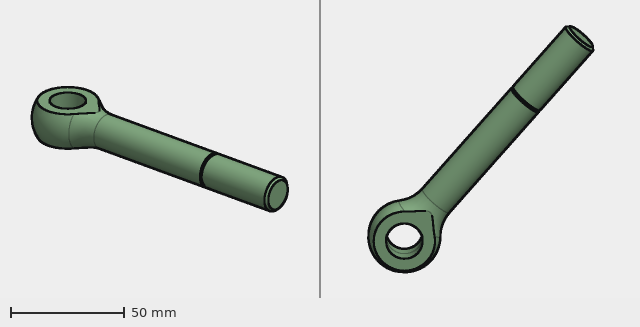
import cadquery as cq
import math

overall_length = 136.0
ball_radius = 15.97
eye_thickness = 17.0
bore_diameter = 16.0
shank_radius = 8.0
neck_radius = 16.7
end_chamfer = 1.2
groove_width = 1.0
groove_depth = 0.5
groove_to_end = 37.5

shank_end = overall_length - ball_radius
groove_x = shank_end - groove_to_end

neck_center_r = shank_radius + neck_radius
neck_end_x = math.sqrt((ball_radius + neck_radius) ** 2 - neck_center_r ** 2)
ball_share = ball_radius / (ball_radius + neck_radius)
tangent_x = neck_end_x * ball_share
tangent_r = neck_center_r * ball_share


def neck_middle():
    """Point on the neck arc halfway between its two tangent points."""
    half_angle = math.atan2(neck_end_x, neck_center_r) / 2
    return (
        neck_end_x - neck_radius * math.sin(half_angle),
        neck_center_r - neck_radius * math.cos(half_angle),
    )


def turned_body():
    """Ball, neck, and shank with its groove and end chamfer, turned about X."""
    profile = (
        cq.Workplane("XY")
        .moveTo(-ball_radius, 0)
        .threePointArc((0, ball_radius), (tangent_x, tangent_r))
        .threePointArc(neck_middle(), (neck_end_x, shank_radius))
        .lineTo(groove_x - groove_width / 2, shank_radius)
        .lineTo(groove_x, shank_radius - groove_depth)
        .lineTo(groove_x + groove_width / 2, shank_radius)
        .lineTo(shank_end - end_chamfer, shank_radius)
        .lineTo(shank_end, shank_radius - end_chamfer)
        .lineTo(shank_end, 0)
        .close()
    )
    return profile.revolve(360, (0, 0, 0), (1, 0, 0))


def eye_flats():
    """Slab that leaves the two flat faces of the eye."""
    slab_length = 2 * overall_length
    slab_width = 4 * ball_radius
    return cq.Workplane("XY").box(slab_length, slab_width, eye_thickness)


def eye_bore():
    """Through hole along Z at the ball centre."""
    return cq.Workplane("XY").circle(bore_diameter / 2).extrude(eye_thickness, both=True)


result = turned_body().intersect(eye_flats()).cut(eye_bore())